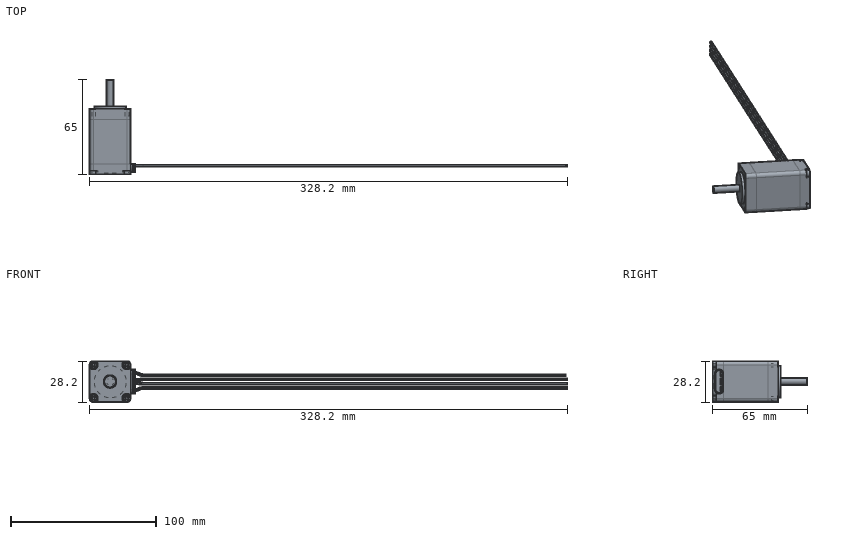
import cadquery as cq


BODY_SIDE = 28.2
BODY_LENGTH = 45.0
CAP_LENGTH = 7.2
CORNER_RADIUS = 2.5

SHAFT_DIAMETER = 5.0
SHAFT_LENGTH = 20.0
PILOT_DIAMETER = 22.0
PILOT_HEIGHT = 2.0

BOLT_OFFSET = 11.5
MOUNT_HOLE_DIAMETER = 2.5
MOUNT_HOLE_DEPTH = 4.5
POCKET_DIAMETER = 6.2
POCKET_DEPTH = 2.45
SCREW_HEAD_DIAMETER = 4.5
HEX_ACROSS_CORNERS = 2.3
HEX_DEPTH = 1.3

RECESS_DIAMETER = 9.0
RECESS_FLOOR_DIAMETER = 8.0
RECESS_STEP = 0.5

GROMMET_Y = 4.43
PLATE_WIDTH = 16.7
PLATE_HEIGHT = 6.0
PLATE_THICKNESS = 1.3
STEM_WIDTH = 15.5
STEM_HEIGHT = 4.5
FLANGE_THICKNESS = 0.5
GROMMET_REACH = 3.12

TOTAL_LENGTH = 328.2
WIRE_DIAMETER = 1.48
WIRE_PITCH = 3.0
WIRE_Y = 6.0
WIRE_EXIT_OFFSETS = (-6.0, -1.0, 1.0, 6.0)
WIRE_BEND_LENGTH = 5.3
TOP_WIRE_SHORTFALL = 1.0

SIDE_X = BODY_SIDE / 2
BOLT_POINTS = [(x, z) for x in (-BOLT_OFFSET, BOLT_OFFSET) for z in (-BOLT_OFFSET, BOLT_OFFSET)]


def section_at(y):
    """Sketch plane across the motor axis, with local axes X and Z; extrude negative to go along +Y."""
    return cq.Workplane("XZ", origin=(0, y, 0))


def cylinder(diameter, y_start, length, points=((0, 0),)):
    """Cylinders along +Y, one at each (x, z) point."""
    return section_at(y_start).pushPoints(list(points)).circle(diameter / 2).extrude(-length)


def body_segment(y_start, y_end):
    length = y_end - y_start
    block = cq.Workplane("XY").box(BODY_SIDE, length, BODY_SIDE).edges("|Y").fillet(CORNER_RADIUS)
    return block.translate((0, (y_start + y_end) / 2, 0))


def motor_body():
    """Rear cap, stator stack and front cap, keeping the seams between them."""
    front_seam = BODY_LENGTH - CAP_LENGTH
    body = body_segment(0, CAP_LENGTH)
    body = body.union(body_segment(CAP_LENGTH, front_seam), clean=False)
    return body.union(body_segment(front_seam, BODY_LENGTH), clean=False)


def add_rear_details(body):
    """Corner pockets holding socket-head screws, and the stepped central recess."""
    body = body.cut(cylinder(POCKET_DIAMETER, 0, POCKET_DEPTH, BOLT_POINTS), clean=False)
    body = body.union(cylinder(SCREW_HEAD_DIAMETER, 0, POCKET_DEPTH, BOLT_POINTS), clean=False)
    sockets = section_at(0).pushPoints(BOLT_POINTS).polygon(6, HEX_ACROSS_CORNERS).extrude(-HEX_DEPTH)
    body = body.cut(sockets, clean=False)
    body = body.cut(cylinder(RECESS_DIAMETER, 0, RECESS_STEP), clean=False)
    return body.cut(cylinder(RECESS_FLOOR_DIAMETER, RECESS_STEP, RECESS_STEP), clean=False)


def add_front_details(body):
    """Pilot boss, output shaft and mounting holes."""
    body = body.union(cylinder(PILOT_DIAMETER, BODY_LENGTH, PILOT_HEIGHT), clean=False)
    body = body.union(cylinder(SHAFT_DIAMETER, BODY_LENGTH, SHAFT_LENGTH), clean=False)
    holes = cylinder(MOUNT_HOLE_DIAMETER, BODY_LENGTH - MOUNT_HOLE_DEPTH, MOUNT_HOLE_DEPTH, BOLT_POINTS)
    return body.cut(holes, clean=False)


def grommet_slab(x_start, x_end, height, width):
    """Slab with fully rounded ends, standing along Z."""
    slab = cq.Workplane("YZ", origin=(x_start, GROMMET_Y, 0)).slot2D(width, height, angle=90)
    return slab.extrude(x_end - x_start)


def grommet():
    """Base plate, narrower stem and thin outer flange."""
    outer_x = SIDE_X + GROMMET_REACH
    plate = grommet_slab(SIDE_X, SIDE_X + PLATE_THICKNESS, PLATE_HEIGHT, PLATE_WIDTH)
    stem = grommet_slab(SIDE_X, outer_x, STEM_HEIGHT, STEM_WIDTH)
    flange = grommet_slab(outer_x - FLANGE_THICKNESS, outer_x, PLATE_HEIGHT, PLATE_WIDTH)
    return plate.union(stem).union(flange)


def wire(exit_z, run_z, end_x):
    """A lead that leaves the grommet at exit_z, bends over to run_z and runs straight."""
    start_x = SIDE_X + GROMMET_REACH
    bend_x = start_x + WIRE_BEND_LENGTH
    path = (
        cq.Workplane("XZ", origin=(0, WIRE_Y, 0))
        .moveTo(start_x, exit_z)
        .spline([(bend_x, run_z)], tangents=[(1, 0), (1, 0)], includeCurrent=True)
        .lineTo(end_x, run_z)
    )
    profile = cq.Workplane("YZ", origin=(start_x, WIRE_Y, exit_z)).circle(WIRE_DIAMETER / 2)
    return profile.sweep(path)


def add_wires(body):
    count = len(WIRE_EXIT_OFFSETS)
    far_x = TOTAL_LENGTH - SIDE_X
    for index, exit_z in enumerate(WIRE_EXIT_OFFSETS):
        run_z = (index - (count - 1) / 2) * WIRE_PITCH
        is_top = index == count - 1
        end_x = far_x - TOP_WIRE_SHORTFALL if is_top else far_x
        body = body.union(wire(exit_z, run_z, end_x), clean=False)
    return body


motor = add_front_details(add_rear_details(motor_body()))
result = add_wires(motor.union(grommet(), clean=False))